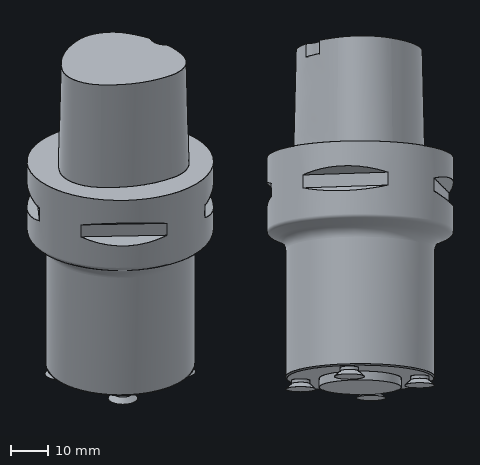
import cadquery as cq
import math

total_height = 92.4
boss_height = 2.4
shank_height = 29.9
flange_top = total_height - shank_height

flange_radius = 50.0 / 2
body_radius = 40.0 / 2
body_chamfer = 0.4
flange_round_start = 42.5
flange_round_radius = 1.2
neck_fillet_radius = 3.4
neck_slope = math.radians(25)

lobe_count = 3
lobe_tip_radius = 18.6
flank_middle_radius = 16.4
junction_radius = 17.6
junction_angle = 25
shank_taper = 0.7
first_lobe_direction = -90

notch_radius = 4.5
notch_floor_y = 14.2
notch_depth = 3.7

groove_floor_distance = 22.2
groove_floor_height = 3.5
groove_centre_height = flange_top - 10.1
groove_side_angle = math.radians(30)
groove_cutter_overrun = 0.9

boss_radius = 22.0 / 2
pin_radius = 5.0 / 2
pin_foot_radius = 8.0 / 2
pin_cone_height = 1.5
pin_offset = 11.5

quarter_count = 4
quarter_turn = 360 / quarter_count


def make_body():
    """Turned body with a sloped, rounded neck below the flange."""
    slope_sine = math.sin(neck_slope)
    slope_cosine = math.cos(neck_slope)
    half_turn_angle = (math.pi / 2 - neck_slope) / 2

    round_centre_r = flange_radius - flange_round_radius
    round_middle = (
        round_centre_r + flange_round_radius * math.cos(half_turn_angle),
        flange_round_start - flange_round_radius * math.sin(half_turn_angle),
    )
    slope_outer = (
        round_centre_r + flange_round_radius * slope_sine,
        flange_round_start - flange_round_radius * slope_cosine,
    )

    fillet_centre_r = body_radius + neck_fillet_radius
    slope_inner_r = fillet_centre_r - neck_fillet_radius * slope_sine
    slope_inner_z = slope_outer[1] - (slope_outer[0] - slope_inner_r) * math.tan(neck_slope)
    fillet_end_z = slope_inner_z - neck_fillet_radius * slope_cosine
    fillet_middle = (
        fillet_centre_r - neck_fillet_radius * math.cos(half_turn_angle),
        fillet_end_z + neck_fillet_radius * math.sin(half_turn_angle),
    )

    return (
        cq.Workplane("XZ")
        .moveTo(0, boss_height)
        .lineTo(body_radius - body_chamfer, boss_height)
        .lineTo(body_radius, boss_height + body_chamfer)
        .lineTo(body_radius, fillet_end_z)
        .threePointArc(fillet_middle, (slope_inner_r, slope_inner_z))
        .lineTo(*slope_outer)
        .threePointArc(round_middle, (flange_radius, flange_round_start))
        .lineTo(flange_radius, flange_top)
        .lineTo(0, flange_top)
        .close()
        .revolve(360, (0, 0), (0, 1))
    )


def polar_point(radius, degrees):
    """Point at the given distance and direction from the shank axis."""
    angle = math.radians(degrees)
    return (radius * math.cos(angle), radius * math.sin(angle))


def add_shank_outline(plane, inset):
    """Draw the closed outline of lobe and flank arcs, moved inward by the inset."""
    lobe_pitch = 360 / lobe_count
    junction = junction_radius - inset
    outline = plane.moveTo(*polar_point(junction, first_lobe_direction - junction_angle))
    for lobe in range(lobe_count):
        tip = first_lobe_direction + lobe * lobe_pitch
        outline = outline.threePointArc(
            polar_point(lobe_tip_radius - inset, tip),
            polar_point(junction, tip + junction_angle),
        )
        outline = outline.threePointArc(
            polar_point(flank_middle_radius - inset, tip + lobe_pitch / 2),
            polar_point(junction, tip + lobe_pitch - junction_angle),
        )
    return outline.close()


def make_shank():
    """Tapered three-lobed shank with the notch in its top edge."""
    base = add_shank_outline(cq.Workplane("XY", origin=(0, 0, flange_top)), 0)
    shank = add_shank_outline(base.workplane(offset=shank_height), shank_taper).loft(ruled=True)
    notch = (
        cq.Workplane("XY", origin=(0, notch_floor_y + notch_radius, total_height - notch_depth))
        .circle(notch_radius)
        .extrude(notch_depth)
    )
    return shank.cut(notch)


def make_groove():
    """Cutter for one groove on the +X side, widening outwards from its flat floor."""
    half_floor = groove_floor_height / 2
    cutter_reach = flange_radius + groove_cutter_overrun
    half_mouth = half_floor + (cutter_reach - groove_floor_distance) * math.tan(groove_side_angle)
    return (
        cq.Workplane("XZ", origin=(0, 0, groove_centre_height))
        .moveTo(groove_floor_distance, -half_floor)
        .lineTo(cutter_reach, -half_mouth)
        .lineTo(cutter_reach, half_mouth)
        .lineTo(groove_floor_distance, half_floor)
        .close()
        .extrude(flange_radius, both=True)
    )


def make_pin():
    """Short pin with a flared conical foot, standing under the body."""
    return (
        cq.Workplane("XZ")
        .moveTo(0, 0)
        .lineTo(pin_foot_radius, 0)
        .lineTo(pin_radius, pin_cone_height)
        .lineTo(pin_radius, boss_height)
        .lineTo(0, boss_height)
        .close()
        .revolve(360, (0, 0), (0, 1))
        .translate((pin_offset, pin_offset, 0))
    )


result = make_body().union(make_shank())
result = result.union(cq.Workplane("XY").circle(boss_radius).extrude(boss_height))

for quarter in range(quarter_count):
    turn = quarter * quarter_turn
    result = result.union(make_pin().rotate((0, 0, 0), (0, 0, 1), turn))
    groove_turn = turn + quarter_turn / 2
    result = result.cut(make_groove().rotate((0, 0, 0), (0, 0, 1), groove_turn))